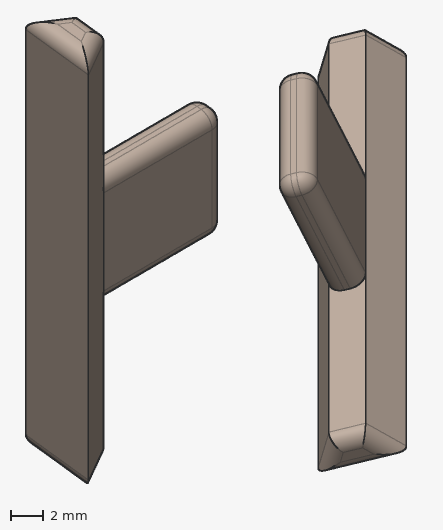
import cadquery as cq

bar_length = 35.0
bar_width = 5.8
bar_depth = 2.8

tab_width = 2.4
tab_reach = 10.0
tab_height = tab_reach
tab_rise = 0.25

edge_radius = 1.0


def make_bar():
    """Trapezoidal bar along Z, with both ends rounded all the way around."""
    half_wide = bar_width / 2
    half_narrow = tab_width / 2
    return (
        cq.Workplane("XY")
        .workplane(offset=-bar_length / 2)
        .polyline([
            (-half_wide, 0),
            (half_wide, 0),
            (half_narrow, bar_depth),
            (-half_narrow, bar_depth),
        ])
        .close()
        .extrude(bar_length)
        .faces("<Z or >Z")
        .edges()
        .fillet(edge_radius)
    )


def make_tab():
    """Square tab with every edge rounded except those at its root."""
    return (
        cq.Workplane("XY")
        .box(tab_width, tab_reach, tab_height, centered=(True, False, True))
        .edges("not <Y")
        .fillet(edge_radius)
        .translate((0, bar_depth, tab_rise))
    )


result = make_bar().union(make_tab())